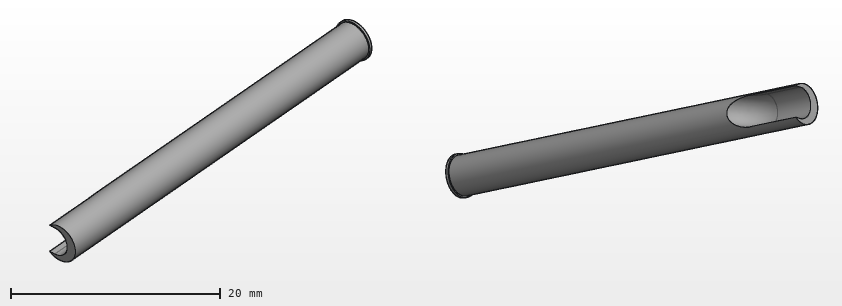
import cadquery as cq

total_length = 43.0
body_diameter = 4.0
collar_diameter = 4.3
collar_length = 0.3

channel_length = 8.0
channel_radius = 1.55
channel_centre_x = -0.6
runout_radius = 4.0

body_radius = body_diameter / 2
end_y = -total_length
floor_x = channel_centre_x + channel_radius
runout_axis_x = floor_x - runout_radius
runout_length = (runout_radius**2 - (body_radius + runout_axis_x) ** 2) ** 0.5
runout_start_y = end_y + channel_length - runout_length


def cylinder_along_y(diameter, length):
    """Cylinder from Y = 0 toward -Y."""
    return cq.Workplane("XZ").circle(diameter / 2).extrude(length)


def channel_profile():
    """U-shaped section at the start of the runout, reaching back to the runout axis."""
    return (
        cq.Workplane("XZ", origin=(0, runout_start_y, 0))
        .moveTo(runout_axis_x, -channel_radius)
        .lineTo(channel_centre_x, -channel_radius)
        .threePointArc((floor_x, 0), (channel_centre_x, channel_radius))
        .lineTo(runout_axis_x, channel_radius)
        .close()
    )


def channel_cutter():
    """Straight channel to the -Y end plus the runout that curves up to the surface."""
    straight = channel_profile().extrude(runout_start_y - end_y)
    runout = channel_profile().revolve(360, (runout_axis_x, 0, 0), (runout_axis_x, 1, 0))
    return straight.union(runout)


body = cylinder_along_y(body_diameter, total_length)
collar = cylinder_along_y(collar_diameter, collar_length)
result = body.union(collar).cut(channel_cutter())